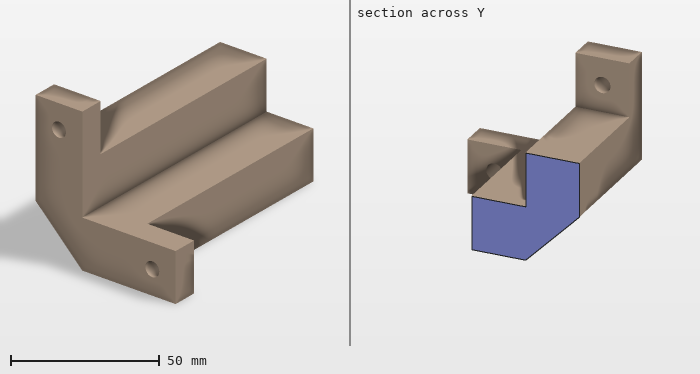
import cadquery as cq

length = 100.0
plate_thickness = 10.0
plate_reach = 60.0
beam_reach = 40.0
arm_width = 20.0
hole_diameter = 6.0
hole_inset = arm_width / 2


def bevelled_angle(reach, depth):
    """L-shaped prism along +Y from the front face, with its outer corner bevelled."""
    outline = [
        (arm_width, 0),
        (reach, 0),
        (reach, arm_width),
        (arm_width, arm_width),
        (arm_width, reach),
        (0, reach),
        (0, arm_width),
    ]
    return cq.Workplane("XZ").polyline(outline).close().extrude(-depth)


beam = bevelled_angle(beam_reach, length)
plate = bevelled_angle(plate_reach, plate_thickness)

hole_centres = [
    (hole_inset, plate_reach - hole_inset),
    (plate_reach - hole_inset, hole_inset),
]
holes = (
    cq.Workplane("XZ")
    .pushPoints(hole_centres)
    .circle(hole_diameter / 2)
    .extrude(-plate_thickness)
)

result = beam.union(plate).cut(holes)